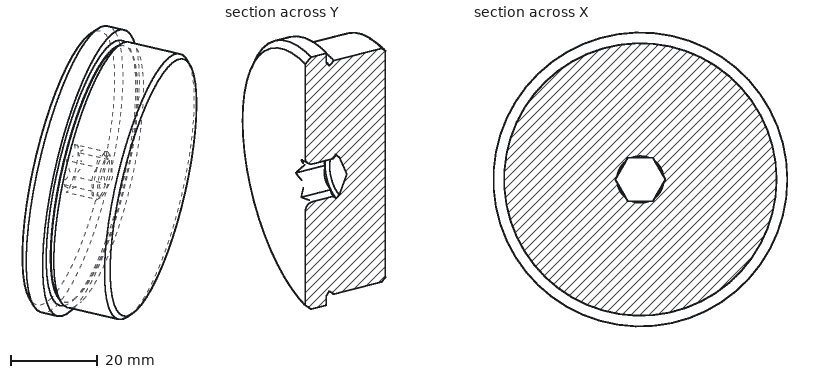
import cadquery as cq
import math

length = 20.8

flange_radius = 34.0
flange_thickness = 5.5
flange_chamfer = 1.5

body_diameter = 63.05
body_radius = body_diameter / 2
body_end_chamfer = 1.0

undercut_bottom_radius = 30.45
undercut_flange_flank_width = 0.7
undercut_flange_flank_rise = 1.0
undercut_floor_width = 0.15
undercut_body_depth = body_radius - undercut_bottom_radius

socket_across_flats = 10.0
socket_inner_radius = socket_across_flats / 2
socket_corner_radius = socket_inner_radius / math.cos(math.pi / 6)
socket_depth = 8.0
socket_mouth_fillet = 2.05
relief_depth = socket_corner_radius - socket_inner_radius

drill_tip_angle = 138.0


def make_turned_blank():
    """Revolve flange, undercut and body about the X axis."""
    floor_start = flange_thickness + undercut_flange_flank_width
    floor_end = floor_start + undercut_floor_width
    return (
        cq.Workplane("XY")
        .lineTo(0, flange_radius - flange_chamfer)
        .lineTo(flange_chamfer, flange_radius)
        .lineTo(flange_thickness, flange_radius)
        .lineTo(flange_thickness, undercut_bottom_radius + undercut_flange_flank_rise)
        .lineTo(floor_start, undercut_bottom_radius)
        .lineTo(floor_end, undercut_bottom_radius)
        .lineTo(floor_end + undercut_body_depth, body_radius)
        .lineTo(length - body_end_chamfer, body_radius)
        .lineTo(length, body_radius - body_end_chamfer)
        .lineTo(length, 0)
        .close()
        .revolve(360, (0, 0, 0), (1, 0, 0))
    )


def make_socket_mouth():
    """Solid of revolution that rounds the rim of the socket."""
    mouth_radius = socket_inner_radius + socket_mouth_fillet
    arc_offset = socket_mouth_fillet * math.sqrt(0.5)
    return (
        cq.Workplane("XY")
        .lineTo(0, mouth_radius)
        .threePointArc(
            (socket_mouth_fillet - arc_offset, mouth_radius - arc_offset),
            (socket_mouth_fillet, socket_inner_radius),
        )
        .lineTo(socket_mouth_fillet, 0)
        .close()
        .revolve(360, (0, 0, 0), (1, 0, 0))
    )


def make_hexagon():
    """Hexagonal prism from the flange face to the relief groove, with two corners along Y."""
    return cq.Workplane("YZ").polygon(6, 2 * socket_corner_radius).extrude(socket_depth)


def make_socket_bottom():
    """Solid of revolution for the relief groove and the conical bottom."""
    groove_start = socket_depth - relief_depth
    groove_end = socket_depth + relief_depth
    tip_length = socket_inner_radius / math.tan(math.radians(drill_tip_angle / 2))
    return (
        cq.Workplane("XY")
        .moveTo(groove_start, 0)
        .lineTo(groove_start, socket_inner_radius)
        .lineTo(socket_depth, socket_corner_radius)
        .lineTo(groove_end, socket_inner_radius)
        .lineTo(groove_end + tip_length, 0)
        .close()
        .revolve(360, (0, 0, 0), (1, 0, 0))
    )


blank = make_turned_blank()
result = blank.cut(make_hexagon()).cut(make_socket_mouth()).cut(make_socket_bottom())